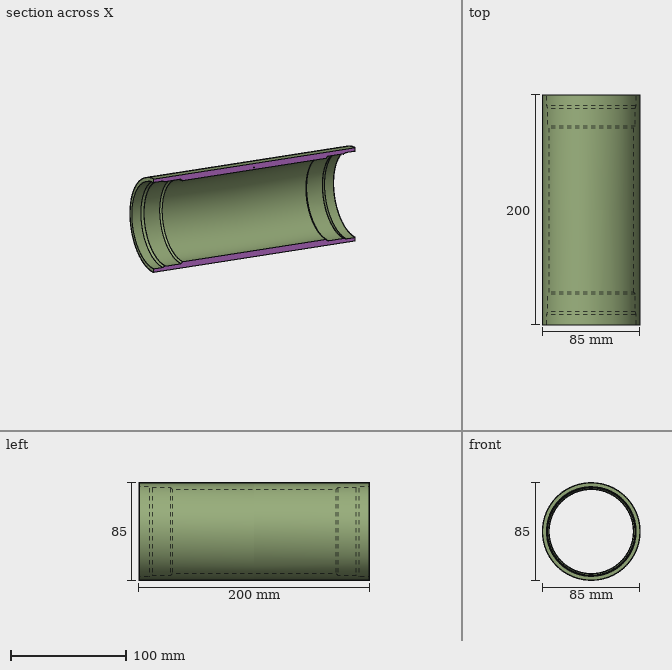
import cadquery as cq

length = 200.0
outer_radius = 42.5
mouth_radius = 39.0
lip_radius = 38.0
seat_radius = 38.2
bore_radius = 36.5

mouth_depth = 9.0
lip_depth = 11.5
seat_end = 27.2
bore_start = 28.8


def socket_profile():
    """Half section of one socket: X is the radius, Y runs inward from the end face."""
    return (
        cq.Workplane("XY")
        .moveTo(0, 0)
        .lineTo(mouth_radius, 0)
        .lineTo(mouth_radius, mouth_depth)
        .lineTo(lip_radius, lip_depth)
        .lineTo(seat_radius, lip_depth)
        .lineTo(seat_radius, seat_end)
        .lineTo(bore_radius, bore_start)
        .lineTo(0, bore_start)
        .close()
    )


def tube():
    """Plain tube centred on the origin."""
    return (
        cq.Workplane("XZ")
        .circle(outer_radius)
        .circle(bore_radius)
        .extrude(length / 2, both=True)
    )


front_socket = (
    socket_profile()
    .revolve(360, (0, 0, 0), (0, 1, 0))
    .translate((0, -length / 2, 0))
)
back_socket = front_socket.mirror("XZ")

result = tube().cut(front_socket).cut(back_socket)